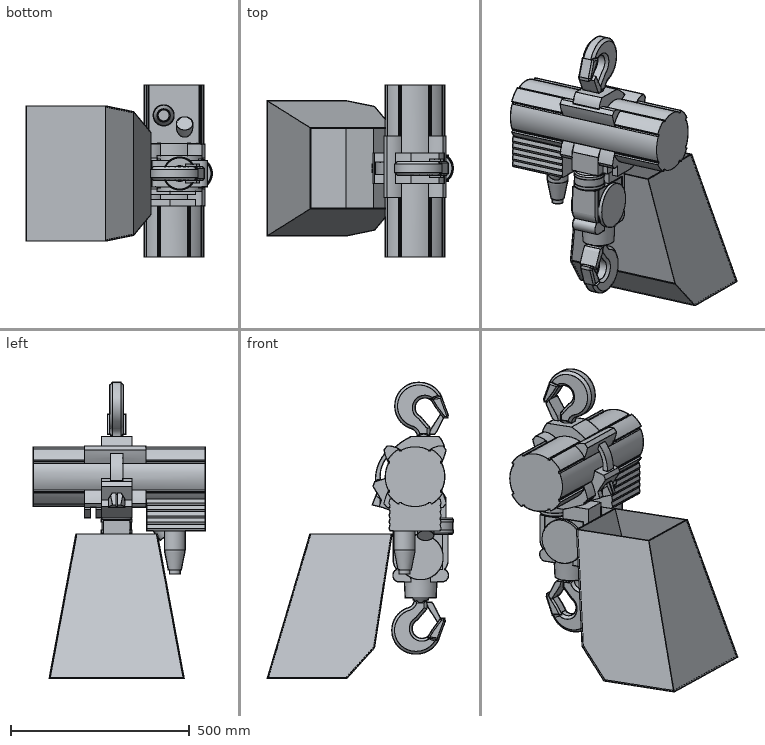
import cadquery as cq
import math


drum_front = -248.0
drum_length = 481.5
drum_radius = 83.5
lobe_radius = 89.5
lobe_half_angle = 14.0
groove_radius = 2.0
groove_offset = 17.0

clamp_front = -82.0
clamp_back = 90.5
half_body = 43.0
clamp_bottom = -115.0
clamp_right = 87.0
lug_top = 112.5
ear_top = 86.0

box_half_width = 73.0
box_front = drum_front
box_back = -84.0
box_top = -62.0
box_bottom = -151.5
rib_count = 5
rib_depth = 3.0
rib_crest = 0.65

gland_x = -29.0
gland_y = -162.5
gland_radius = 59.0 / 2
gland_lip_radius = 28.5
gland_neck_radius = 18.5
gland_tip_radius = 31.0 / 2
gland_lip_z = -205.5
gland_cone_z = -210.5
gland_neck_z = -260.5
gland_tip_z = -272.5

plug_radius = 23.0
plug_length = 40.0
plug_tilt = 37.0
plug_end = (29.5, -140.0, -164.5)

hook_half_width = 19.5
hook_chamfer = 8.0
shank_diameter = 35.6
shank_height = 9.0
upper_hook_x = 24.0
hook_height = 151.5
latch_half_width = 26.0
tip_chamfer = 5.0

block_x = 15.7
block_half_width = 77.0
block_half_depth = 37.0
block_top = -122.0
cover_half_width = 61.5
cover_half_depth = 40.0
sheave_radius = 126.0 / 2
sheave_z = -225.0
sheave_half_depth = 50.0
lobe_bottom = -294.0
socket_top = -270.0
socket_bottom = -339.0
socket_top_radius = 47.0
socket_bottom_radius = 43.5
collar_radius = 22.0
collar_height = 5.5

bumper_x = 64.0
bumper_radius = 43.2
bumper_core_radius = 41.5
bumper_bottom = -161.0
bumper_flange = 12.0
bumper_chamfer = 4.0

bag_left = bumper_x + bumper_radius - 520.67
bag_bottom = lug_top + hook_height - 828.39
bag_top = -160.0
bag_top_left = -294.0
bag_top_right = -64.0
bag_knee = (-113.0, -478.0)
bag_bottom_right = -191.0
bag_half_bottom = 189.0
bag_half_top = 114.0
bag_wall = 3.0


def along_y(points, back, front):
    """Closed XZ outline filled between two Y positions."""
    return cq.Workplane("XZ", origin=(0, back, 0)).polyline(points).close().extrude(back - front)


def block_between(x_range, y_range, z_range):
    """Box given by its limits along X, Y and Z."""
    size = [high - low for low, high in (x_range, y_range, z_range)]
    corner = [low for low, high in (x_range, y_range, z_range)]
    return cq.Workplane("XY").box(*size, centered=False).translate(tuple(corner))


def y_disc(x, z, radius, back, front):
    """Round disc with its axis along Y."""
    return cq.Workplane("XZ", origin=(x, back, z)).circle(radius).extrude(back - front)


def z_disc(x, y, radius, low, high):
    """Round disc with its axis along Z."""
    return cq.Workplane("XY", origin=(x, y, low)).circle(radius).extrude(high - low)


def polar(radius, angle):
    return (radius * math.cos(math.radians(angle)), radius * math.sin(math.radians(angle)))


def make_drum():
    """Round drum with four raised corner lobes and a groove on each side of a lobe."""
    back = drum_front + drum_length
    drum = y_disc(0, 0, drum_radius, back, drum_front)
    for corner in (45, 135, 225, 315):
        start = corner - lobe_half_angle
        end = corner + lobe_half_angle
        lobe = (
            cq.Workplane("XZ", origin=(0, back, 0))
            .lineTo(*polar(lobe_radius, start))
            .threePointArc(polar(lobe_radius, corner), polar(lobe_radius, end))
            .close()
            .extrude(drum_length)
        )
        drum = drum.union(lobe)
    for corner in (45, 135, 225, 315):
        for side in (-1, 1):
            x, z = polar(drum_radius, corner + side * groove_offset)
            drum = drum.cut(y_disc(x, z, groove_radius, back, drum_front))
    return drum


def make_ears():
    """Four pointed clamp ears, one over each corner lobe of the drum."""
    width = clamp_back - clamp_front
    ear = (
        cq.Workplane("XZ", origin=(0, clamp_back, 0))
        .lineTo(38, 72)
        .threePointArc((54, 82), (70, ear_top))
        .lineTo(78, ear_top)
        .lineTo(87, 75)
        .threePointArc((82, 57), (72, 34))
        .close()
        .extrude(width)
    )
    pair = ear.union(ear.mirror("YZ"))
    return pair.union(pair.mirror("XY"))


def make_lug():
    """Top lug that carries the upper hook."""
    return (
        cq.Workplane("XZ", origin=(0, half_body, 0))
        .moveTo(-60, 50)
        .lineTo(-54, 84)
        .threePointArc((-34, 99.5), (-11, lug_top))
        .lineTo(67, lug_top)
        .threePointArc((74, 103), (82, 84))
        .lineTo(75, 50)
        .close()
        .extrude(2 * half_body)
    )


def make_lower_body():
    """Body below the drum with the chain outlet on its left, and two feet behind it."""
    outline = [
        (-60, 0),
        (-81, -4),
        (-113, -14),
        (-118, -27),
        (-94, -65),
        (-100, -83),
        (-12, clamp_bottom),
        (clamp_right, clamp_bottom),
        (clamp_right, -60),
        (75, -40),
    ]
    body = along_y(outline, half_body, -half_body)
    for y_range in ((58, half_body), (clamp_back, 73)):
        foot = along_y([(-75, -60), (-75, -92), (-12, clamp_bottom), (60, clamp_bottom), (60, -60)], *y_range)
        body = body.union(foot)
    return body


def make_outlet():
    """Outlet spout on the left of the lower body, wider toward its bottom."""
    spout = along_y([(-98, -42), (-107, -46), (-120, -79), (-92, -86)], 24, -24)
    flare = (
        cq.Workplane("YZ", origin=(-130, 0, 0))
        .polyline([(-9, -40), (9, -40), (23, -62), (23, -90), (-23, -90), (-23, -62)])
        .close()
        .extrude(60)
    )
    wedge = (
        cq.Workplane("XY", origin=(0, 0, -100))
        .polyline([(-125, -9), (-125, 9), (-96, 24), (-80, 24), (-80, -24), (-96, -24)])
        .close()
        .extrude(70)
    )
    slot = block_between((-130, -104), (-2, 2), (-100, -40))
    return spout.intersect(flare).intersect(wedge).cut(slot)


def make_handle():
    """Curved strap from behind the upper left ear down to the chain outlet."""
    strap_half_width = 17.5
    strap = (
        cq.Workplane("XZ", origin=(0, strap_half_width, 0))
        .moveTo(-111, -10)
        .threePointArc((-105, 28), (-80, 70))
        .lineTo(-80, 52)
        .threePointArc((-92, 30), (-97, -8))
        .close()
        .extrude(2 * strap_half_width)
    )
    return strap


def make_housing(drum):
    housing = drum.union(make_ears()).union(make_lug()).union(make_lower_body())
    return housing.union(make_outlet()).union(make_handle())


def make_gland():
    outline = [
        (0, box_bottom),
        (gland_radius, box_bottom),
        (gland_radius, gland_lip_z),
        (gland_lip_radius, gland_lip_z),
        (gland_lip_radius, gland_cone_z),
        (gland_neck_radius, gland_neck_z),
        (gland_tip_radius, gland_neck_z),
        (gland_tip_radius, gland_tip_z),
        (0, gland_tip_z),
    ]
    gland = cq.Workplane("XZ").polyline(outline).close().revolve(360, (0, 0, 0), (0, 1, 0))
    return gland.translate((gland_x, gland_y, 0))


def make_plug():
    """Round plug that leaves the box downward and toward the front."""
    tilt = math.radians(plug_tilt)
    inward = (0, math.sin(tilt), math.cos(tilt))
    plane = cq.Plane(origin=plug_end, xDir=(1, 0, 0), normal=inward)
    return cq.Workplane(plane).circle(plug_radius).extrude(plug_length)


def make_control_box(drum):
    """Box with sloped ribs along both sides, fitted around the underside of the drum."""
    pitch = (box_top - box_bottom) / rib_count
    root = box_half_width - rib_depth
    side = [(root, box_top)]
    for index in range(rib_count):
        top = box_top - index * pitch
        side.append((box_half_width, top - rib_crest * pitch))
        side.append((root, top - pitch))
    other_side = [(-x, z) for x, z in reversed(side)]
    box = along_y(side + other_side, box_back, box_front)
    return box.union(make_plug()).union(make_gland()).cut(drum)


def make_hook():
    """Upright hook standing on Z = 0 with its shank on the Z axis."""
    shank = shank_diameter / 2
    bow = (
        cq.Workplane("XZ", origin=(0, hook_half_width, 0))
        .moveTo(-shank, 0)
        .threePointArc((-24, 15), (-38, 22.5))
        .threePointArc((-81, 85), (-14, hook_height))
        .threePointArc((26, 140), (51, 110))
        .lineTo(22, 100)
        .threePointArc((-23.5, 80), (-9, 56))
        .lineTo(shank, 25)
        .lineTo(shank, 0)
        .close()
        .extrude(2 * hook_half_width)
        .faces("<Y or >Y")
        .chamfer(hook_chamfer)
    )
    return bow.union(z_disc(0, 0, shank, 0, shank_height))


def make_tip():
    """Tip of the hook, bevelled along its edges."""
    outline = [(18, 107), (50, 112), (57, 92), (69, 60), (68, 51), (56, 51), (33, 82)]
    tip = along_y(outline, hook_half_width, -hook_half_width)
    return tip.faces("<Y or >Y").chamfer(tip_chamfer)


def make_latch(hook):
    """Safety latch that straddles the hook from its shank to its tip."""
    outline = [(16, 6), (31, 6), (37, 14), (56, 52), (47, 62), (20, 20)]
    return along_y(outline, latch_half_width, -latch_half_width).cut(hook)


def make_block():
    left = block_x - block_half_width
    step_x = 20
    right = block_x + block_half_width
    shoulder = 67.0
    shell = (
        cq.Workplane("XZ", origin=(0, block_half_depth, 0))
        .moveTo(left, block_top)
        .lineTo(left, -235)
        .threePointArc((left + 3, -248), (block_x - shoulder, -259))
        .threePointArc((left - 1, -275), (block_x - shoulder + 4, lobe_bottom))
        .lineTo(block_x + shoulder - 4, lobe_bottom)
        .threePointArc((right + 1, -275), (block_x + shoulder, -259))
        .threePointArc((right - 3, -248), (right, -235))
        .lineTo(right, bumper_bottom)
        .lineTo(step_x, bumper_bottom)
        .lineTo(step_x, block_top)
        .close()
        .extrude(2 * block_half_depth)
    )
    sheave = y_disc(block_x, sheave_z, sheave_radius, sheave_half_depth, -sheave_half_depth)
    cover = block_between(
        (block_x - cover_half_width, block_x + cover_half_width),
        (-cover_half_depth, cover_half_depth),
        (-259, bumper_bottom),
    )
    socket = (
        cq.Workplane("XY", origin=(block_x, 0, socket_bottom))
        .circle(socket_bottom_radius)
        .workplane(offset=socket_top - socket_bottom)
        .circle(socket_top_radius)
        .loft()
    )
    collar = z_disc(block_x, 0, collar_radius, socket_bottom - collar_height, socket_bottom)
    return shell.union(cover).union(sheave).union(socket).union(collar).union(make_bumper())


def make_bumper():
    bumper = z_disc(bumper_x, 0, bumper_core_radius, bumper_bottom + bumper_flange, clamp_bottom - bumper_flange)
    upper_flange = z_disc(bumper_x, 0, bumper_radius, clamp_bottom - bumper_flange, clamp_bottom)
    lower_flange = z_disc(bumper_x, 0, bumper_radius, bumper_bottom, bumper_bottom + bumper_flange)
    bumper = bumper.union(upper_flange.faces(">Z").chamfer(bumper_chamfer))
    bumper = bumper.union(lower_flange.faces("<Z").chamfer(bumper_chamfer))
    return bumper


def make_bag():
    """Tapered, thin-walled bag, open at the top, with a sloped lower right corner."""
    outline = [
        (bag_top_left, bag_top),
        (bag_left, bag_bottom),
        (bag_bottom_right, bag_bottom),
        bag_knee,
        (bag_top_right, bag_top),
    ]
    body = along_y(outline, bag_half_bottom, -bag_half_bottom)
    taper = (
        cq.Workplane("YZ", origin=(bag_left, 0, 0))
        .polyline(
            [
                (-bag_half_bottom, bag_bottom),
                (bag_half_bottom, bag_bottom),
                (bag_half_top, bag_top),
                (-bag_half_top, bag_top),
            ]
        )
        .close()
        .extrude(bag_top_right - bag_left)
    )
    return body.intersect(taper).faces(">Z").shell(-bag_wall)


drum = make_drum()
housing = make_housing(drum)
control_box = make_control_box(drum)
block = make_block()
bag = make_bag()

hook = make_hook().union(make_tip())
latch = make_latch(hook)
bodies = [housing, control_box, block, bag]
for part in (hook, latch):
    bodies.append(part.translate((upper_hook_x, 0, lug_top)))
    bodies.append(part.mirror("XY").translate((block_x, 0, socket_bottom - collar_height)))

result = cq.Compound.makeCompound([solid for body in bodies for solid in body.vals()])